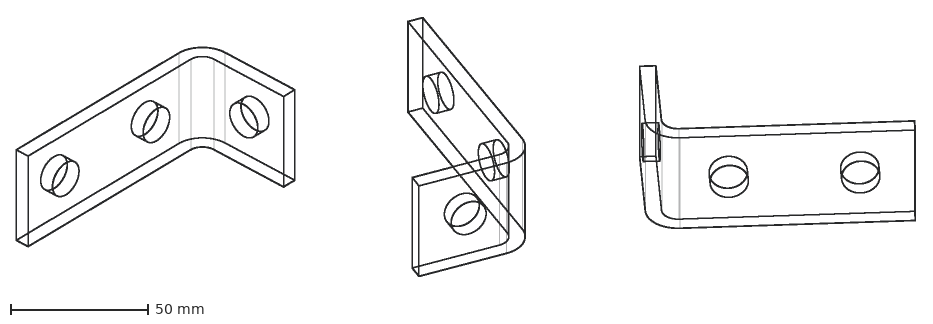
import cadquery as cq

width = 47.0
length = 98.0
height = 40.0
thickness = 6.0

inner_radius = 6.0
outer_radius = inner_radius + thickness

hole_diameter = 14.0
end_hole_offset = 20.0
hole_spacing = 48.0
short_leg_hole_x = 27.0

inner_y = length - thickness


def bent_strip():
    """L-shaped strip with concentric inner and outer bend radii."""
    outer = cq.Workplane("XY").rect(width, length, centered=False).extrude(height)
    outer = outer.edges("|Z and <X and >Y").fillet(outer_radius)
    inside = (
        cq.Workplane("XY")
        .moveTo(thickness, 0)
        .rect(width - thickness, inner_y, centered=False)
        .extrude(height)
        .edges("|Z and <X and >Y")
        .fillet(inner_radius)
    )
    return outer.cut(inside)


def long_leg_holes():
    """Two cylinders along X through the long leg."""
    centers = [(end_hole_offset + i * hole_spacing, height / 2) for i in range(2)]
    return cq.Workplane("YZ").pushPoints(centers).circle(hole_diameter / 2).extrude(thickness)


def short_leg_hole():
    """One cylinder along Y through the short leg."""
    return (
        cq.Workplane("XZ", origin=(0, length, 0))
        .center(short_leg_hole_x, height / 2)
        .circle(hole_diameter / 2)
        .extrude(thickness)
    )


result = bent_strip().cut(long_leg_holes()).cut(short_leg_hole())